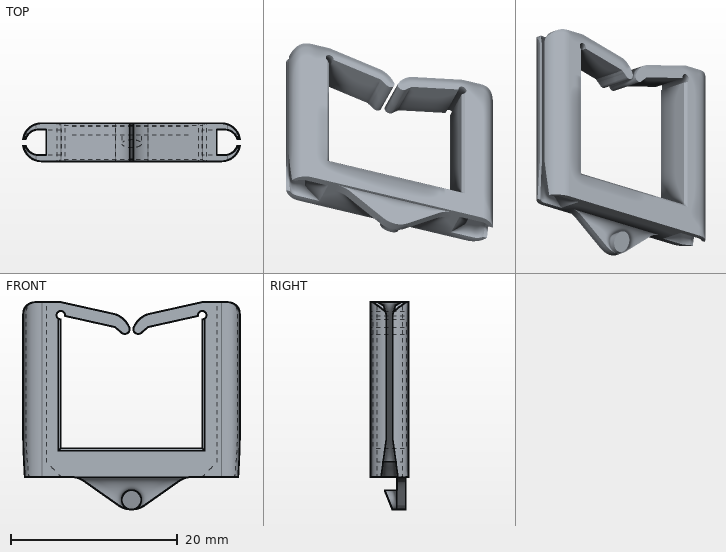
import cadquery as cq
import math

LENGTH = 26.08
DEPTH = 4.6
HEIGHT = 20.98
TOP_CORNER_RADIUS = 1.55
OVERSIZE = 2.6

WINDOW_HALF_WIDTH = 8.48
WINDOW_FLOOR = 3.45
WINDOW_CHAMFER = 0.29
RELIEF_RADIUS = 0.5
RELIEF_Z = 19.4

ARM_BEND_X = -1.95
ARM_BEND_Z = 19.53
ARM_THICKNESS = 1.53
OUTER_BEND_MIDDLE = (-1.17, 19.1)
INNER_BEND_MIDDLE = (-1.85, 17.84)
INNER_BEND_END = (-1.6, 17.65)
TIP_X = -0.8
TIP_Z = 17.73
TIP_RADIUS = 0.6
TIP_OUTER_ANGLE = 38.0
TIP_INNER_ANGLE = 234.0
TIP_MIDDLE_ANGLE = (TIP_OUTER_ANGLE + TIP_INNER_ANGLE) / 2 - 180

CHANNEL_FLOOR_X = 10.22
CHANNEL_RADIUS = 1.5
CHANNEL_CENTER_X = 11.2
SLOT_HALF_WIDTH = 0.4
SLOT_MOUTH_HALF_WIDTH = 1.01
SLOT_FLARE_HEIGHT = 4.55
SLOT_TOP_HALF_WIDTH = 0.83
SLOT_TOP_FLARE_START = 19.45
CHANNEL_UNDERCUT = 1.82

TAB_FRONT_Y = 0.88
TAB_THICKNESS = 1.07
TAB_HALF_WIDTH = 6.4
TAB_APEX_Z = -4.5
TAB_BLEND_RADIUS = 2.68
PIN_RADIUS = 1.17
PIN_CENTER_Z = -2.73
PIN_TOP_Y = -0.6
PIN_BOTTOM_Y = 0.35


def extrude_y(sketch, y_start, y_end):
    """Extrude an XZ outline between two Y positions."""
    return sketch.extrude(-(y_end - y_start)).translate((0, y_start, 0))


def through_depth(sketch):
    return extrude_y(sketch, -DEPTH / 2, DEPTH / 2)


def both_sides(left):
    return left.union(left.mirror("YZ"))


def make_body():
    rounded_ends = cq.Workplane("XY").slot2D(LENGTH, DEPTH).extrude(HEIGHT)
    profile = (
        cq.Workplane("XZ")
        .rect(LENGTH, 2 * HEIGHT)
        .extrude(DEPTH, both=True)
        .edges("|Y and >Z")
        .fillet(TOP_CORNER_RADIUS)
    )
    return rounded_ends.intersect(profile)


def make_window():
    """Opening through the frame, open at the top, with chamfered front and back rims."""
    straight = through_depth(
        cq.Workplane("XZ")
        .center(0, (WINDOW_FLOOR + HEIGHT + OVERSIZE) / 2)
        .rect(2 * WINDOW_HALF_WIDTH, HEIGHT + OVERSIZE - WINDOW_FLOOR)
    )
    rim_height = RELIEF_Z - WINDOW_FLOOR + WINDOW_CHAMFER
    rim = (
        cq.Workplane("XZ", origin=(0, -DEPTH / 2, 0))
        .center(0, RELIEF_Z - rim_height / 2)
        .rect(2 * (WINDOW_HALF_WIDTH + WINDOW_CHAMFER), rim_height)
        .extrude(-WINDOW_CHAMFER, taper=45)
    )
    return straight.union(rim).union(rim.mirror("XZ"))


def make_arm():
    """Sloping spring arm that ends in a rounded, downturned tip."""
    slope = math.atan2(HEIGHT - ARM_BEND_Z, ARM_BEND_X + WINDOW_HALF_WIDTH)
    drop = ARM_THICKNESS / math.cos(slope)

    def tip_point(degrees):
        angle = math.radians(degrees)
        return (TIP_X + TIP_RADIUS * math.cos(angle), TIP_Z + TIP_RADIUS * math.sin(angle))

    outline = (
        cq.Workplane("XZ")
        .moveTo(-WINDOW_HALF_WIDTH, HEIGHT)
        .lineTo(ARM_BEND_X, ARM_BEND_Z)
        .threePointArc(OUTER_BEND_MIDDLE, tip_point(TIP_OUTER_ANGLE))
        .threePointArc(tip_point(TIP_MIDDLE_ANGLE), tip_point(TIP_INNER_ANGLE))
        .lineTo(*INNER_BEND_END)
        .threePointArc(INNER_BEND_MIDDLE, (ARM_BEND_X, ARM_BEND_Z - drop))
        .lineTo(-WINDOW_HALF_WIDTH, HEIGHT - drop)
        .close()
    )
    return through_depth(outline)


def make_relief_hole():
    return through_depth(
        cq.Workplane("XZ").center(-WINDOW_HALF_WIDTH, RELIEF_Z).circle(RELIEF_RADIUS)
    )


def make_channel():
    """Left side channel with its slot, flared at both ends, and undercut floor."""
    total_height = HEIGHT + OVERSIZE
    round_part = cq.Workplane("XY").center(-CHANNEL_CENTER_X, 0).circle(CHANNEL_RADIUS).extrude(total_height)
    outer_half = cq.Workplane("XY").box(
        CHANNEL_RADIUS, DEPTH, total_height, centered=(False, True, False)
    ).translate((-CHANNEL_CENTER_X - CHANNEL_RADIUS, 0, 0))
    square_part = cq.Workplane("XY").box(
        CHANNEL_CENTER_X - CHANNEL_FLOOR_X, 2 * CHANNEL_RADIUS, total_height, centered=(False, True, False)
    ).translate((-CHANNEL_CENTER_X, 0, 0))
    slot = (
        cq.Workplane("YZ", origin=(-CHANNEL_CENTER_X, 0, 0))
        .moveTo(-SLOT_MOUTH_HALF_WIDTH, 0)
        .lineTo(-SLOT_HALF_WIDTH, SLOT_FLARE_HEIGHT)
        .lineTo(-SLOT_HALF_WIDTH, SLOT_TOP_FLARE_START)
        .lineTo(-SLOT_TOP_HALF_WIDTH, HEIGHT)
        .lineTo(SLOT_TOP_HALF_WIDTH, HEIGHT)
        .lineTo(SLOT_HALF_WIDTH, SLOT_TOP_FLARE_START)
        .lineTo(SLOT_HALF_WIDTH, SLOT_FLARE_HEIGHT)
        .lineTo(SLOT_MOUTH_HALF_WIDTH, 0)
        .close()
        .extrude(-OVERSIZE)
    )
    undercut = extrude_y(
        cq.Workplane("XZ")
        .moveTo(-CHANNEL_FLOOR_X, 0)
        .lineTo(-CHANNEL_FLOOR_X, CHANNEL_UNDERCUT)
        .lineTo(-CHANNEL_FLOOR_X + CHANNEL_UNDERCUT, 0)
        .close(),
        -CHANNEL_RADIUS,
        CHANNEL_RADIUS,
    )
    return round_part.intersect(outer_half).union(square_part).union(slot).union(undercut)


def make_tab():
    """Triangular tab with a rounded apex, blended into the frame's underside."""
    side_angle = math.atan2(-TAB_APEX_Z, TAB_HALF_WIDTH)
    sine = math.sin(side_angle)
    cosine = math.cos(side_angle)
    blend_length = TAB_BLEND_RADIUS * math.tan(side_angle / 2)
    root_x = TAB_HALF_WIDTH + blend_length
    blend_x = TAB_HALF_WIDTH - blend_length * cosine
    blend_z = -blend_length * sine
    apex_x = TAB_BLEND_RADIUS * sine
    apex_z = TAB_APEX_Z + apex_x * math.tan(side_angle)
    bottom_z = TAB_APEX_Z + TAB_BLEND_RADIUS * (1 / cosine - 1)
    mid_x = root_x - TAB_BLEND_RADIUS * math.sin(side_angle / 2)
    mid_z = -TAB_BLEND_RADIUS * (1 - math.cos(side_angle / 2))
    outline = (
        cq.Workplane("XZ")
        .moveTo(-root_x, 0)
        .threePointArc((-mid_x, mid_z), (-blend_x, blend_z))
        .lineTo(-apex_x, apex_z)
        .threePointArc((0, bottom_z), (apex_x, apex_z))
        .lineTo(blend_x, blend_z)
        .threePointArc((mid_x, mid_z), (root_x, 0))
        .close()
    )
    return extrude_y(outline, TAB_FRONT_Y, TAB_FRONT_Y + TAB_THICKNESS)


def make_pin():
    """Round latch pin whose front face slopes back towards its lower edge."""
    root_y = TAB_FRONT_Y + TAB_THICKNESS / 2
    cylinder = extrude_y(
        cq.Workplane("XZ").center(0, PIN_CENTER_Z).circle(PIN_RADIUS), PIN_TOP_Y, root_y
    )
    side_profile = (
        cq.Workplane("YZ")
        .moveTo(PIN_TOP_Y, PIN_CENTER_Z + PIN_RADIUS)
        .lineTo(PIN_BOTTOM_Y, PIN_CENTER_Z - PIN_RADIUS)
        .lineTo(root_y, PIN_CENTER_Z - PIN_RADIUS)
        .lineTo(root_y, PIN_CENTER_Z + PIN_RADIUS)
        .close()
        .extrude(PIN_RADIUS, both=True)
    )
    return cylinder.intersect(side_profile)


frame = make_body().cut(make_window()).union(both_sides(make_arm()))
frame = frame.cut(both_sides(make_relief_hole())).cut(both_sides(make_channel()))
result = frame.union(make_tab()).union(make_pin())